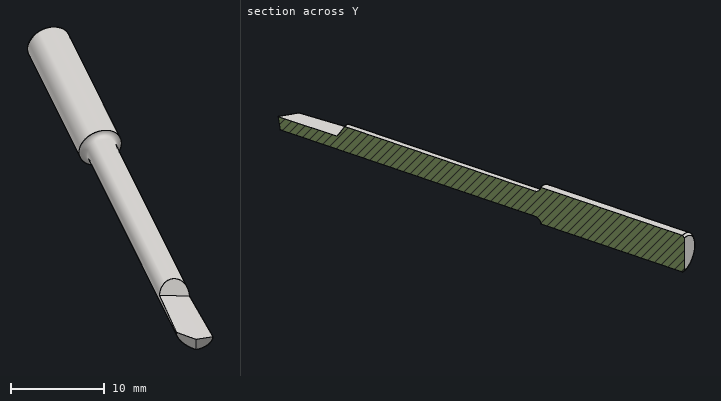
import cadquery as cq
import math

length = 50.8
shank_radius = 2.4
shank_length = 17.95
shank_chamfer = 0.25
neck_radius = 1.65
shoulder_radius = shank_radius - neck_radius

runout_start = 42.3
rake_start = 43.1
rake_front_height = 0.4
rake_back_height = -0.25
runout_slope = (rake_start - runout_start) / (neck_radius - rake_front_height)

tip_reach = 1.9
corner_x = 50.65
lead_angle = 45.0
relief_angle = 7.0


def turned_body():
    """Shank and neck joined by a concave quarter-round shoulder."""
    shoulder_end = shank_length + shoulder_radius
    arc_offset = shoulder_radius * math.sqrt(0.5)
    profile = (
        cq.Workplane("XZ")
        .lineTo(0, shank_radius - shank_chamfer)
        .lineTo(shank_chamfer, shank_radius)
        .lineTo(shank_length, shank_radius)
        .threePointArc(
            (shoulder_end - arc_offset, shank_radius - arc_offset),
            (shoulder_end, neck_radius),
        )
        .lineTo(length, neck_radius)
        .lineTo(length, 0)
        .close()
    )
    return profile.revolve(360, (0, 0, 0), (1, 0, 0))


def tip_flare():
    """Back half of the tip, widening toward +Y up to the cutting corner."""
    tip_length = length - rake_start
    flare = (
        cq.Workplane("YZ", origin=(rake_start, 0, 0))
        .ellipse(neck_radius, neck_radius)
        .workplane(offset=tip_length)
        .ellipse(tip_reach, neck_radius)
        .loft(ruled=True)
    )
    back_half = cq.Workplane().box(length, length, length, centered=(False, False, True))
    return flare.intersect(back_half)


def runout_x(height):
    """X of the run-out plane at a given height."""
    return runout_start + runout_slope * (neck_radius - height)


def rake_section(y):
    """Closed outline of the removed material in the plane at y."""
    clear_height = 2 * shank_radius
    middle_height = (rake_front_height + rake_back_height) / 2
    cross_slope = (rake_back_height - rake_front_height) / (2 * neck_radius)
    start_height = middle_height + cross_slope * y
    corners = [
        (runout_x(clear_height), y, clear_height),
        (runout_x(start_height), y, start_height),
        (length, y, 0),
        (length, y, clear_height),
    ]
    return cq.Wire.makePolygon([cq.Vector(*point) for point in corners], close=True)


def rake_cutter():
    """Everything above the run-out and the twisted rake face."""
    sections = [rake_section(-shank_radius), rake_section(shank_radius)]
    return cq.Workplane(cq.Solid.makeLoft(sections, True))


def relief_cutter(edge_point, facing_angle):
    """Block outside an edge; its face falls back below the edge by the relief angle."""
    facing = math.radians(facing_angle)
    relief = math.radians(relief_angle)
    normal = (
        math.cos(facing) * math.cos(relief),
        math.sin(facing) * math.cos(relief),
        -math.sin(relief),
    )
    along_edge = (-math.sin(facing), math.cos(facing), 0)
    block_size = 4 * shank_radius
    return cq.Workplane(cq.Plane(edge_point, along_edge, normal)).box(
        block_size, block_size, block_size, centered=(True, True, False)
    )


corner = (corner_x, 0, 0)
end_facing = -math.degrees(math.atan2(length - corner_x, tip_reach))

result = turned_body().union(tip_flare()).cut(rake_cutter())
for facing_angle in (end_facing, -lead_angle):
    result = result.cut(relief_cutter(corner, facing_angle))